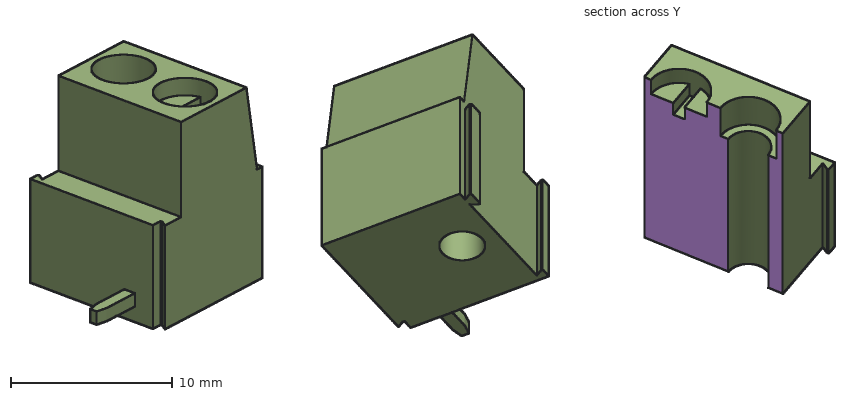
import cadquery as cq

pitch = 5.0
width = 2 * pitch
depth = 9.83
height = 13.8
shoulder_height = 7.2
tower_front = 2.0
tower_back = 8.3
back_ledge_height = 7.73
tower_foot_back = 9.32

rail_reach = 0.61
rail_flat = 0.14
rail_corner_x = 0.03
rail_corner_y = 0.11
hook_tip_y = 0.75
hook_root_y = 0.45
rail_front = 8.34
rail_back = 9.47
rail_undercut = hook_tip_y - hook_root_y

well_diameter = 4.0
bore_diameter = 2.85
well_y = 5.33
open_well_x = pitch / 2
screw_well_x = open_well_x + pitch
open_well_depth = 2.39
screw_head_depth = 1.21
slot_width = 0.8
slot_depth = 1.0

pin_x = screw_well_x
pin_width = 0.85
pin_tip_width = 0.52
pin_length = 3.48
pin_taper_start = 2.69
pin_bottom = 1.09
pin_height = 0.92


def prism(points, prism_height):
    """Vertical prism standing on the base plane."""
    return cq.Workplane("XY").polyline(points).close().extrude(prism_height)


def make_housing():
    side_profile = [
        (0, 0),
        (depth, 0),
        (depth, back_ledge_height),
        (tower_foot_back, back_ledge_height),
        (tower_back, height),
        (tower_front, height),
        (tower_front, shoulder_height),
        (0, shoulder_height),
    ]
    return cq.Workplane("YZ").polyline(side_profile).close().extrude(width)


def make_rail():
    """Dovetail rail near the back of the left wall, undercut on both sides."""
    points = [
        (0, rail_front + rail_undercut),
        (-rail_reach + rail_flat, rail_front),
        (-rail_reach + rail_corner_x, rail_front),
        (-rail_reach, rail_front + rail_corner_y),
        (-rail_reach, rail_back - rail_corner_y),
        (-rail_reach + rail_corner_x, rail_back),
        (-rail_reach + rail_flat, rail_back),
        (0, rail_back - rail_undercut),
    ]
    return prism(points, shoulder_height)


def make_hook():
    """Half dovetail at the front edge, reaching left from the left wall."""
    points = [
        (0, 0),
        (0, hook_root_y),
        (-rail_reach + rail_flat, hook_tip_y),
        (-rail_reach + rail_corner_x, hook_tip_y),
        (-rail_reach, hook_tip_y - rail_corner_y),
        (-rail_reach, 0),
    ]
    return prism(points, shoulder_height)


def make_hook_socket():
    """Matching notch in the right wall, with a square inner corner."""
    points = [
        (width, 0),
        (width, hook_root_y),
        (width - rail_reach + rail_flat, hook_tip_y),
        (width - rail_reach, hook_tip_y),
        (width - rail_reach, 0),
    ]
    return prism(points, shoulder_height)


def make_well(x, diameter, well_depth):
    """Round cutter sunk from the top face."""
    return (
        cq.Workplane("XY", origin=(x, well_y, height - well_depth))
        .circle(diameter / 2)
        .extrude(well_depth)
    )


def make_screw_slot():
    """Driver slot running across the full screw head."""
    slot_total_depth = screw_head_depth + slot_depth
    slot_box = cq.Workplane("XY", origin=(screw_well_x, well_y, height - slot_total_depth)).box(
        slot_width, well_diameter, slot_total_depth, centered=(True, True, False)
    )
    return slot_box.intersect(make_well(screw_well_x, well_diameter, slot_total_depth))


def make_pin():
    """Flat pin projecting from the front wall, narrowing toward its tip."""
    points = [
        (pin_x - pin_width / 2, 0),
        (pin_x - pin_width / 2, -pin_taper_start),
        (pin_x - pin_tip_width / 2, -pin_length),
        (pin_x + pin_tip_width / 2, -pin_length),
        (pin_x + pin_width / 2, -pin_taper_start),
        (pin_x + pin_width / 2, 0),
    ]
    return prism(points, pin_height).translate((0, 0, pin_bottom))


result = make_housing().union(make_rail()).union(make_hook()).cut(make_hook_socket())
result = result.cut(make_well(open_well_x, well_diameter, open_well_depth))
result = result.cut(make_well(open_well_x, bore_diameter, height))
result = result.cut(make_well(screw_well_x, well_diameter, screw_head_depth))
result = result.cut(make_screw_slot()).union(make_pin())